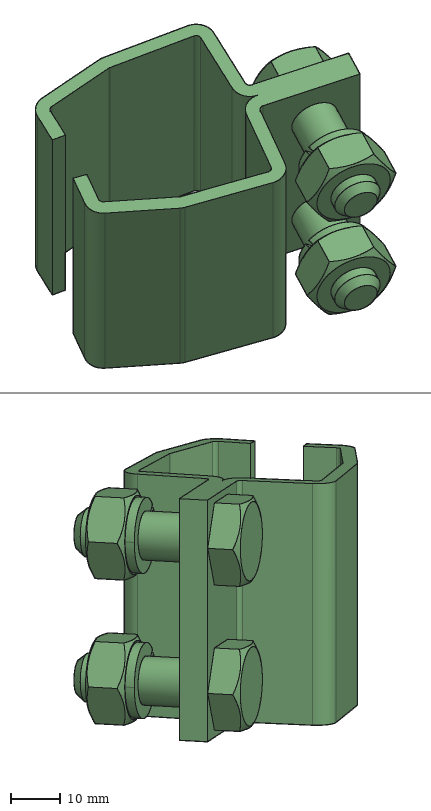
import cadquery as cq
import math

overall_depth = 64.7
bracket_height = 50.0

sheet = 3.0
bend_inner = 1.05
bend_outer = bend_inner + sheet
bend_middle = bend_inner + sheet / 2
draft = 3
lower_turn = 15
shoulder_length = 14.55
side_length = 18.95
lower_length = 15.35
lip_length = 6.9

sheet_steps = [
    (draft - 90, shoulder_length),
    (90, side_length),
    (lower_turn, lower_length),
    (90 - lower_turn, lip_length),
]

bolt_spacing = 30.0
bolt_edge = 10.0
shank_diameter = 10.0
shank_end = 27.1
tip_diameter = 7.25
tip_length = 1.75
hex_flats = 17.0
hex_corners = hex_flats / math.cos(math.radians(30))
hex_face_diameter = 16.2
hex_chamfer = 1.1
head_height = 6.4
nut_start = 15.1
nut_height = 8.3

washer_diameter = 15.5
washer_thickness = 1.95
split_width = 1.05
split_position = 138
split_tilt = 15


def move(point, heading, distance):
    angle = math.radians(heading)
    return (point[0] + distance * math.cos(angle), point[1] + distance * math.sin(angle))


def trace_middle_line():
    """Walk the middle of the left sheet down from the tab.

    Returns (point, heading) stations: the start, then for every step
    the middle of the bend, the end of the bend and the end of the flat.
    """
    point = (-sheet / 2, 0)
    heading = -90
    stations = [(point, heading)]
    for bend, flat in sheet_steps:
        start = point
        for part in (bend / 2, bend):
            chord = 2 * bend_middle * math.sin(math.radians(abs(part) / 2))
            point = move(start, heading + part / 2, chord)
            stations.append((point, heading + part))
        heading += bend
        point = move(point, heading, flat)
        stations.append((point, heading))
    return stations


def lowest_point(stations):
    """Y of the lowest spot on the outside of the last bend."""
    bend_end, heading = stations[-2]
    centre = move(bend_end, heading + 90, bend_middle)
    return centre[1] - bend_outer


def make_left_sheet(stations):
    """Left half of the channel, its top at Y = 0."""
    inside = [move(point, heading + 90, sheet / 2) for point, heading in stations]
    outside = [move(point, heading - 90, sheet / 2) for point, heading in stations]
    outline = cq.Workplane("XY").moveTo(*inside[0])
    for i in range(1, len(inside), 3):
        outline = outline.threePointArc(inside[i], inside[i + 1]).lineTo(*inside[i + 2])
    outline = outline.lineTo(*outside[-1])
    for i in range(len(outside) - 3, 0, -3):
        outline = outline.lineTo(*outside[i + 1]).threePointArc(outside[i], outside[i - 1])
    return outline.close().extrude(bracket_height / 2, both=True)


def make_bracket():
    """Double-thickness clamping tab and the two bent sheets below it."""
    stations = trace_middle_line()
    tab_length = overall_depth + lowest_point(stations)
    left = make_left_sheet(stations)
    tab = cq.Workplane("XY").box(2 * sheet, tab_length, bracket_height)
    tab = tab.translate((0, tab_length / 2, 0))
    bracket = tab.union(left).union(left.mirror("YZ"))
    return bracket.translate((0, bolt_edge - tab_length, 0))


def make_hexagon(start, height, chamfer_start):
    """Hexagon along +X with corners on Y, chamfered at the far end or at both ends."""
    hexagon = cq.Workplane("YZ").polygon(6, hex_corners).extrude(height)
    corner_radius = hex_corners / 2
    face_radius = hex_face_diameter / 2
    envelope = cq.Workplane("XY").moveTo(0, 0)
    if chamfer_start:
        envelope = envelope.lineTo(0, face_radius).lineTo(hex_chamfer, corner_radius)
    else:
        envelope = envelope.lineTo(0, corner_radius)
    envelope = (
        envelope.lineTo(height - hex_chamfer, corner_radius)
        .lineTo(height, face_radius)
        .lineTo(height, 0)
        .close()
        .revolve(360, (0, 0, 0), (1, 0, 0))
    )
    return hexagon.intersect(envelope).translate((start, 0, 0))


def make_shank():
    """Round shank from the tab to a tapered tip."""
    return (
        cq.Workplane("XY")
        .lineTo(0, shank_diameter / 2)
        .lineTo(shank_end - tip_length, shank_diameter / 2)
        .lineTo(shank_end, tip_diameter / 2)
        .lineTo(shank_end, 0)
        .close()
        .revolve(360, (0, 0, 0), (1, 0, 0))
    )


def make_washer():
    """Spring washer against the nut, with a slanted split through one side."""
    ring = cq.Workplane("YZ").circle(washer_diameter / 2).extrude(washer_thickness / 2, both=True)
    split = (
        cq.Workplane("XY")
        .box(2 * washer_thickness, washer_diameter, split_width)
        .translate((0, washer_diameter / 2, 0))
        .rotate((0, 0, 0), (0, 1, 0), split_tilt)
        .rotate((0, 0, 0), (1, 0, 0), split_position)
    )
    return ring.cut(split).translate((nut_start - washer_thickness / 2, 0, 0))


def make_bolt():
    """Bolt with head, washer and nut, its axis on X."""
    head = make_hexagon(sheet, head_height, chamfer_start=False).mirror("YZ")
    nut = make_hexagon(nut_start, nut_height, chamfer_start=True)
    return make_shank().union(head).union(make_washer()).union(nut)


bolt = make_bolt()
result = make_bracket()
for side in (-1, 1):
    result = result.union(bolt.translate((0, 0, side * bolt_spacing / 2)))